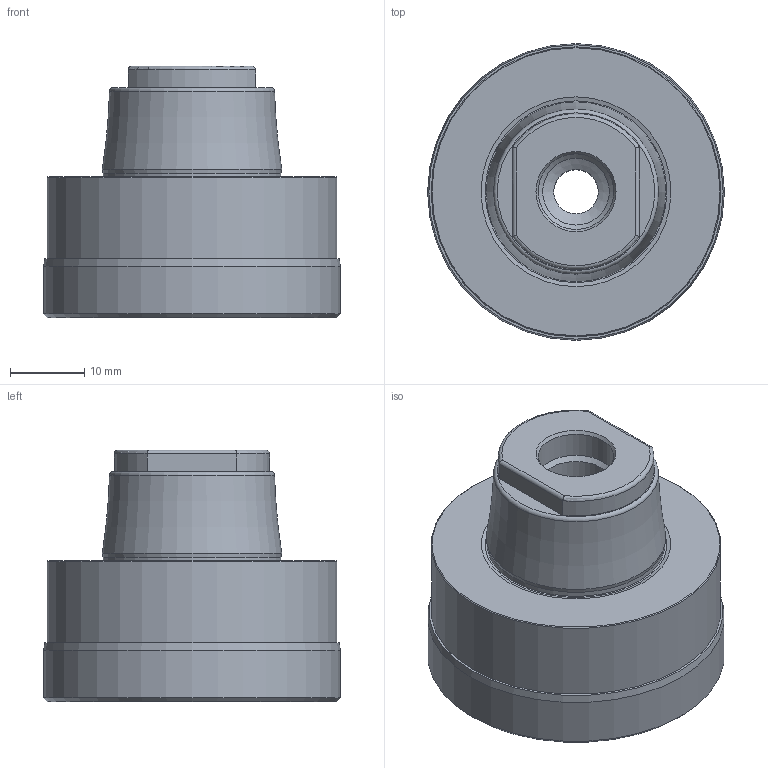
import cadquery as cq
import math

collar_radius = 20.01
collar_bevel_start_z = 6.95
collar_top_z = 8.0
collar_top_radius = 19.85
bottom_chamfer = 0.55
body_radius = 19.55
body_top_z = 19.0
body_rim_chamfer = 0.12

dish_outer_radius = 12.8
dish_inner_radius = 12.26
dish_depth = 0.15

foot_radius = 12.0
band_radius = 12.1
band_bottom_z = 19.5
band_top_z = 20.05
boss_top_z = 31.05
boss_top_radius = 11.13
boss_waist_sag = 0.17
boss_edge_round = 0.5

overall_height = 33.95
tongue_radius = 10.5
tongue_width = 17.15
tongue_edge_round = 0.5

mouth_radius = 5.4
mouth_depth = 0.45
bore_radius = 5.1
bore_depth = 3.9
lower_bore_radius = 4.5
lower_bore_depth = 7.5
through_radius = 3.0
drill_point_angle = 118.0


def make_base_and_boss():
    """Revolve the outer half-section of the collar, body and boss."""
    dish_z = body_top_z - dish_depth
    boss_side_top_z = boss_top_z - boss_edge_round
    boss_flat_radius = boss_top_radius - boss_edge_round
    waist_point = (
        (band_radius + boss_top_radius) / 2 - boss_waist_sag,
        (band_top_z + boss_side_top_z) / 2,
    )
    diagonal = boss_edge_round * math.sqrt(0.5)
    edge_round_point = (boss_flat_radius + diagonal, boss_side_top_z + diagonal)

    half_section = (
        cq.Workplane("XZ")
        .moveTo(0, 0)
        .lineTo(collar_radius - bottom_chamfer, 0)
        .lineTo(collar_radius, bottom_chamfer)
        .lineTo(collar_radius, collar_bevel_start_z)
        .lineTo(collar_top_radius, collar_top_z)
        .lineTo(body_radius, collar_top_z)
        .lineTo(body_radius, body_top_z - body_rim_chamfer)
        .lineTo(body_radius - body_rim_chamfer, body_top_z)
        .lineTo(dish_outer_radius, body_top_z)
        .lineTo(dish_inner_radius, dish_z)
        .lineTo(foot_radius, dish_z)
        .lineTo(foot_radius, band_bottom_z)
        .lineTo(band_radius, band_top_z)
        .threePointArc(waist_point, (boss_top_radius, boss_side_top_z))
        .threePointArc(edge_round_point, (boss_flat_radius, boss_top_z))
        .lineTo(0, boss_top_z)
        .close()
    )
    return half_section.revolve(360, (0, 0, 0), (0, 1, 0))


def make_tongue():
    """Disc cut by two flats facing -X and +X, with its top edge rounded."""
    tongue_height = overall_height - boss_top_z
    disc = cq.Workplane("XY").workplane(offset=boss_top_z).circle(tongue_radius).extrude(tongue_height)
    flats = (
        cq.Workplane("XY")
        .workplane(offset=boss_top_z)
        .rect(tongue_width, 2 * tongue_radius)
        .extrude(tongue_height)
    )
    return disc.intersect(flats).faces(">Z").edges().fillet(tongue_edge_round)


def make_bore():
    """Revolve the half-section of the stepped hole that runs through the part."""
    bore_bevel = bore_radius - lower_bore_radius
    point_height = (lower_bore_radius - through_radius) / math.tan(math.radians(drill_point_angle / 2))
    lower_bore_floor_z = overall_height - lower_bore_depth

    half_section = (
        cq.Workplane("XZ")
        .moveTo(0, 0)
        .lineTo(through_radius, 0)
        .lineTo(through_radius, lower_bore_floor_z - point_height)
        .lineTo(lower_bore_radius, lower_bore_floor_z)
        .lineTo(lower_bore_radius, overall_height - bore_depth - bore_bevel)
        .lineTo(bore_radius, overall_height - bore_depth)
        .lineTo(bore_radius, overall_height - mouth_depth)
        .lineTo(mouth_radius, overall_height)
        .lineTo(0, overall_height)
        .close()
    )
    return half_section.revolve(360, (0, 0, 0), (0, 1, 0))


result = make_base_and_boss().union(make_tongue()).cut(make_bore())